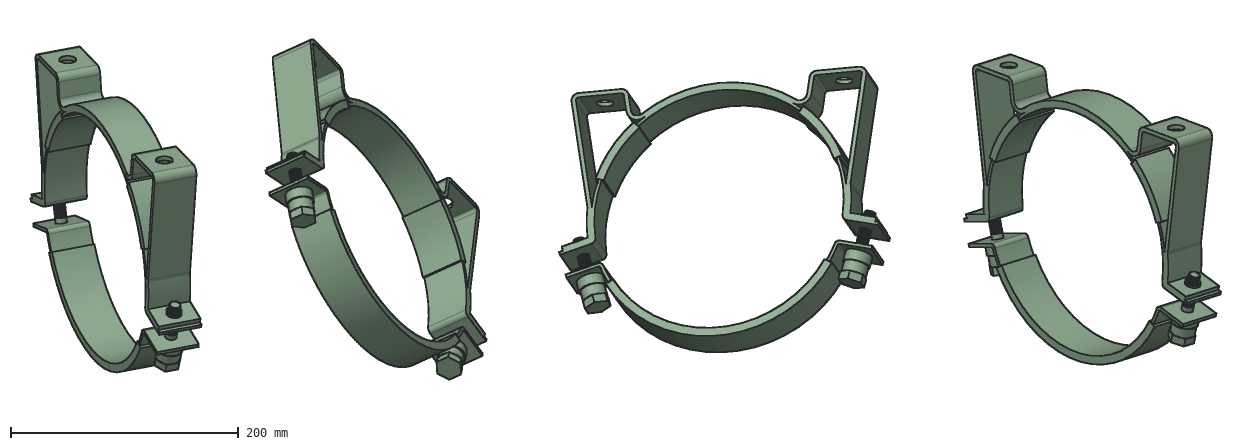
import cadquery as cq
import math

STRIP_WIDTH = 40.0
INNER_STRIP = 3.0
OUTER_STRIP = 4.0
LOWER_STRIP = 3.2
STRIP_INNER_R = 113.0
STRIP_MID_R = STRIP_INNER_R + INNER_STRIP
STRIP_OUTER_R = STRIP_MID_R + OUTER_STRIP
LOWER_STRIP_OUTER_R = STRIP_INNER_R + LOWER_STRIP

PAD_WIDTH = 40.5
PAD_INNER_R = 111.0
PAD_OUTER_R = 119.0
UPPER_PAD_START = 20.0
UPPER_PAD_END = 49.7
LOWER_PAD_START = 30.3

BRACKET_TOP = 123.0
BRACKET_LEAN = math.radians(8.1)
BRACKET_FOOT_Z = 13.5
BRACKET_FOOT_R = 7.0
BRACKET_CORNER_R = 3.0
BRACKET_HOLE_DIA = 14.8
BRACKET_HOLE_X = 108.5
VALLEY_R = 6.5
VALLEY_ANGLE = 54.4

PARTING_SLOPE = 15.0
SLOPE = math.radians(PARTING_SLOPE)
HALF_GAP = 10.0
FLANGE_TIP = 146.7
OUTER_STRIP_TIP = 143.3
UPPER_BEND_R = 5.0
LOWER_BEND_R = 4.4
LOWER_BEND_INNER_R = 1.5

BOLT_DISTANCE = 130.0
SHANK_R = 5.2
THREAD_DEPTH = 0.5
THREAD_PITCH = 1.5
THREAD_TOP = 26.7
THREAD_BOTTOM = -5.0
COLLAR_DIA = 14.0
COLLAR_HEIGHT = 2.0
SLEEVE_DIA = 24.5
SLEEVE_LENGTH = 10.0
NECK_DIA = 22.3
NECK_LENGTH = 10.2
HEX_ACROSS_FLATS = 21.2
HEX_LENGTH = 7.8
HEX_SIDES = 6

UPPER_FLANGE_TOP = HALF_GAP + INNER_STRIP + OUTER_STRIP
LOWER_FLANGE_BOTTOM = -HALF_GAP - LOWER_STRIP
BRACKET_FOOT_X = -math.sqrt(STRIP_OUTER_R**2 - BRACKET_FOOT_Z**2)


def polar(radius, degrees):
    """Point at an angle above the -X direction."""
    angle = math.radians(degrees)
    return (-radius * math.cos(angle), radius * math.sin(angle))


def flange_point(along, height):
    """XZ point on the -X side, from distances along and above the parting plane."""
    x = -along * math.cos(SLOPE) - height * math.sin(SLOPE)
    z = -along * math.sin(SLOPE) + height * math.cos(SLOPE)
    return (x, z)


def extrude_outline(outline, width):
    return outline.close().extrude(width / 2, both=True)


def ring_sector(inner_r, outer_r, start, end, width=STRIP_WIDTH):
    """Curved strip between two angles, counted upward from -X."""
    middle = (start + end) / 2
    outline = (
        cq.Workplane("XZ")
        .moveTo(*polar(inner_r, start))
        .threePointArc(polar(inner_r, middle), polar(inner_r, end))
        .lineTo(*polar(outer_r, end))
        .threePointArc(polar(outer_r, middle), polar(outer_r, start))
    )
    return extrude_outline(outline, width)


def flange_plate(start, tip, bottom, top):
    corners = [(start, bottom), (tip, bottom), (tip, top), (start, top)]
    outline = cq.Workplane("XZ").polyline([flange_point(*corner) for corner in corners])
    return extrude_outline(outline, STRIP_WIDTH)


def ring_meets(radius, height):
    """Distance along the parting plane where a flange face reaches a ring radius."""
    return math.sqrt(radius**2 - height**2)


def ring_angle(radius, height):
    return math.degrees(math.asin(height / radius)) - PARTING_SLOPE


def fillet_bends(body, point, radius):
    """Round the bend edge nearest to an XZ point, and its mirror image."""
    x, z = point
    for side_x in (x, -x):
        body = body.edges("|Y").edges(cq.NearestToPointSelector((side_x, 0, z))).fillet(radius)
    return body


def bolt_plane(side):
    """Plane square to a bolt on the parting plane; side is -1 or +1 along X."""
    x, z = flange_point(BOLT_DISTANCE, 0)
    return cq.Plane(
        origin=(-side * x, 0, z),
        xDir=(0, 1, 0),
        normal=(side * math.sin(SLOPE), 0, math.cos(SLOPE)),
    )


def bolt_hole():
    bottom = LOWER_FLANGE_BOTTOM
    return cq.Workplane(bolt_plane(-1)).workplane(offset=bottom).circle(SHANK_R).extrude(THREAD_TOP - bottom)


def with_both_sides(body, feature):
    """Add a feature of the -X side, and its mirror image, to a body."""
    return body.union(feature).union(feature.mirror("YZ"))


def without_both_sides(body, feature):
    return body.cut(feature).cut(feature.mirror("YZ"))


def flange_gap():
    """Space between the upper and lower flanges on the -X side."""
    return flange_plate(0, FLANGE_TIP, -HALF_GAP, HALF_GAP)


def make_bracket():
    """Mounting bracket on the -X side, with the bend that joins it to the ring."""
    lean_x = math.sin(BRACKET_LEAN)
    lean_z = math.cos(BRACKET_LEAN)
    valley_x, valley_z = polar(STRIP_OUTER_R + VALLEY_R, VALLEY_ANGLE)

    def valley_point(radius, degrees):
        dx, dz = polar(radius, degrees)
        return (valley_x + dx, valley_z + dz)

    leg_end = -math.degrees(BRACKET_LEAN)
    ring_end = VALLEY_ANGLE - 180
    middle = (leg_end + ring_end) / 2
    valley_outer_r = VALLEY_R + OUTER_STRIP
    valley = extrude_outline(
        cq.Workplane("XZ")
        .moveTo(*valley_point(VALLEY_R, leg_end))
        .threePointArc(valley_point(VALLEY_R, middle), valley_point(VALLEY_R, ring_end))
        .lineTo(*valley_point(valley_outer_r, ring_end))
        .threePointArc(valley_point(valley_outer_r, middle), valley_point(valley_outer_r, leg_end)),
        STRIP_WIDTH,
    )

    def leaned(point, z):
        return (point[0] - (z - point[1]) * lean_x / lean_z, z)

    level_thickness = OUTER_STRIP / lean_z
    under_top = BRACKET_TOP - OUTER_STRIP
    foot = (BRACKET_FOOT_X, BRACKET_FOOT_Z)
    foot_inside = (foot[0] + level_thickness, BRACKET_FOOT_Z)
    short_end = valley_point(VALLEY_R, leg_end)
    short_end_inside = valley_point(valley_outer_r, leg_end)
    legs = extrude_outline(
        cq.Workplane("XZ").polyline([
            foot,
            leaned(foot, BRACKET_TOP),
            leaned(short_end, BRACKET_TOP),
            short_end,
            short_end_inside,
            leaned(short_end_inside, under_top),
            leaned(foot_inside, under_top),
            foot_inside,
        ]),
        STRIP_WIDTH,
    )
    underside = cq.NearestToPointSelector((-BRACKET_HOLE_X, 0, under_top))
    legs = legs.faces(underside).edges("|Y").fillet(BRACKET_CORNER_R)
    legs = legs.faces(">Z").edges("|Y").fillet(BRACKET_CORNER_R + OUTER_STRIP)

    hole = (
        cq.Workplane("XY", origin=(-BRACKET_HOLE_X, 0, under_top))
        .circle(BRACKET_HOLE_DIA / 2)
        .extrude(OUTER_STRIP)
    )
    return legs.cut(hole).union(valley)


def make_collar():
    """Raised collar on top of the upper flange."""
    return (
        cq.Workplane(bolt_plane(-1))
        .workplane(offset=UPPER_FLANGE_TOP)
        .circle(COLLAR_DIA / 2)
        .extrude(COLLAR_HEIGHT)
    )


def make_upper_clamp():
    flange_angle = ring_angle(STRIP_INNER_R, HALF_GAP)
    foot_angle = math.degrees(math.asin(BRACKET_FOOT_Z / STRIP_MID_R))
    clamp = ring_sector(STRIP_INNER_R, STRIP_MID_R, flange_angle, 180 - flange_angle)
    crown = ring_sector(STRIP_MID_R, STRIP_OUTER_R, VALLEY_ANGLE, 180 - VALLEY_ANGLE)
    double_wall = ring_sector(STRIP_MID_R, STRIP_OUTER_R, flange_angle, foot_angle)
    clamp = with_both_sides(clamp.union(crown), double_wall)
    clamp = without_both_sides(clamp, flange_gap())

    start = ring_meets(STRIP_INNER_R, HALF_GAP)
    layer_line = HALF_GAP + INNER_STRIP
    inner_layer = flange_plate(start, FLANGE_TIP, HALF_GAP, layer_line)
    outer_layer = flange_plate(start, OUTER_STRIP_TIP, layer_line, UPPER_FLANGE_TOP)
    clamp = with_both_sides(clamp, inner_layer.union(outer_layer))
    clamp = fillet_bends(clamp, flange_point(start, HALF_GAP), UPPER_BEND_R)

    clamp = with_both_sides(clamp, make_collar())
    clamp = without_both_sides(clamp, bolt_hole())
    clamp = with_both_sides(clamp, make_bracket())
    clamp = fillet_bends(clamp, (BRACKET_FOOT_X, BRACKET_FOOT_Z), BRACKET_FOOT_R)
    pad = ring_sector(PAD_INNER_R, PAD_OUTER_R, UPPER_PAD_START, UPPER_PAD_END, PAD_WIDTH)
    return with_both_sides(clamp, pad)


def make_lower_clamp():
    flange_angle = ring_angle(STRIP_INNER_R, -HALF_GAP)
    clamp = ring_sector(STRIP_INNER_R, LOWER_STRIP_OUTER_R, -180 - flange_angle, flange_angle)
    clamp = without_both_sides(clamp, flange_gap())

    start = ring_meets(STRIP_INNER_R, HALF_GAP)
    clamp = with_both_sides(clamp, flange_plate(start, FLANGE_TIP, LOWER_FLANGE_BOTTOM, -HALF_GAP))
    clamp = fillet_bends(clamp, flange_point(start, -HALF_GAP), LOWER_BEND_R)
    inside_start = ring_meets(LOWER_STRIP_OUTER_R, LOWER_FLANGE_BOTTOM)
    inside_bend = flange_point(inside_start, LOWER_FLANGE_BOTTOM)
    clamp = fillet_bends(clamp, inside_bend, LOWER_BEND_INNER_R)
    clamp = without_both_sides(clamp, bolt_hole())

    pad = ring_sector(PAD_INNER_R, PAD_OUTER_R, LOWER_PAD_START - 180, -LOWER_PAD_START, PAD_WIDTH)
    return clamp.union(pad)


def make_bolt(side):
    """Bolt with ring-shaped thread grooves, a sleeve, a neck and a hexagon head."""
    plane = bolt_plane(side)
    root_r = SHANK_R - THREAD_DEPTH

    section = [(0, LOWER_FLANGE_BOTTOM), (SHANK_R, LOWER_FLANGE_BOTTOM), (SHANK_R, THREAD_BOTTOM)]
    for groove in range(int((THREAD_TOP - THREAD_BOTTOM) / THREAD_PITCH)):
        groove_start = THREAD_BOTTOM + groove * THREAD_PITCH
        section.append((root_r, groove_start + THREAD_PITCH / 2))
        section.append((SHANK_R, groove_start + THREAD_PITCH))
    section.append((root_r, THREAD_TOP))
    section.append((0, THREAD_TOP))
    section_plane = cq.Plane(origin=plane.origin, xDir=plane.xDir, normal=plane.yDir * -1)
    bolt = cq.Workplane(section_plane).polyline(section).close().revolve(360, (0, 0), (0, 1))

    def below_flange(depth):
        return cq.Workplane(plane).workplane(offset=LOWER_FLANGE_BOTTOM - depth)

    sleeve = below_flange(0).circle(SLEEVE_DIA / 2).extrude(-SLEEVE_LENGTH)
    neck = below_flange(SLEEVE_LENGTH).circle(NECK_DIA / 2).extrude(-NECK_LENGTH)
    across_corners = HEX_ACROSS_FLATS / math.cos(math.pi / HEX_SIDES)
    head = below_flange(SLEEVE_LENGTH + NECK_LENGTH).polygon(HEX_SIDES, across_corners).extrude(-HEX_LENGTH)
    return bolt.union(sleeve).union(neck).union(head)


upper_clamp = make_upper_clamp()
lower_clamp = make_lower_clamp()
bolts = [make_bolt(side) for side in (-1, 1)]

result = cq.Compound.makeCompound([
    upper_clamp.solids().val(),
    lower_clamp.solids().val(),
    *[bolt.solids().val() for bolt in bolts],
])